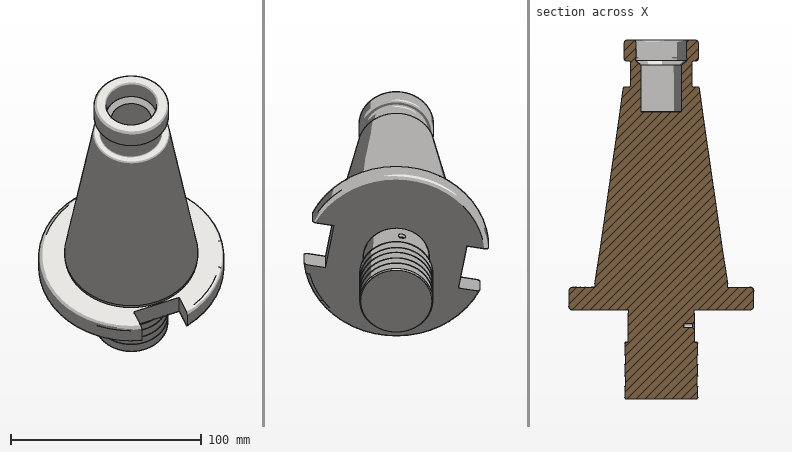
import cadquery as cq
import math

total_height = 188.8
shank_top = 30.0
flange_bottom = 46.8
flange_top = 59.0
taper_top = 164.3
rim_bottom = 177.7

shank_radius = 19.3
lower_neck_radius = 17.5
flange_radius = 48.7
taper_base_radius = 35.1
taper_slope = 7 / 48
upper_neck_radius = 16.2
rim_radius = 19.6

shank_chamfer_width = 0.5
shank_chamfer_height = 1.0
shank_top_chamfer = 0.5
flange_fillet = 2.0
taper_top_fillet = 1.1
neck_bottom_fillet = 0.5
neck_top_fillet = 1.0
rim_top_fillet = 1.9
rim_bottom_fillet = 1.1

relief_depth = 0.2
relief_height = 1.1
relief_runout = 0.8

band_spans = ((6.8, 12.3), (18.1, 23.2))
band_depth = 0.2

slot_width = 25.7
slot_floor = 35.5

bore_radius = 13.2
bore_depth = 11.0
bore_mouth_fillet = 1.3
pilot_radius = 10.5
pilot_depth = 37.8
cone_half_angle = 50.0

side_hole_height = 38.7
side_hole_radius = 1.0
side_hole_depth = 5.7
countersink_radius = 2.0


def revolve_about_z(profile):
    """Close a half profile in the XZ plane and turn it into a solid."""
    return profile.close().revolve(360, (0, 0, 0), (0, 1, 0))


def shank():
    """Chamfered shank and lower neck, up to the underside of the flange."""
    relief_bottom = flange_bottom - relief_height
    profile = (
        cq.Workplane("XZ")
        .lineTo(shank_radius - shank_chamfer_width, 0)
        .lineTo(shank_radius, shank_chamfer_height)
        .lineTo(shank_radius, shank_top - shank_top_chamfer)
        .lineTo(shank_radius - shank_top_chamfer, shank_top)
        .lineTo(lower_neck_radius, shank_top)
        .lineTo(lower_neck_radius, relief_bottom - relief_runout)
        .lineTo(lower_neck_radius - relief_depth, relief_bottom)
        .lineTo(lower_neck_radius - relief_depth, flange_bottom)
        .lineTo(0, flange_bottom)
    )
    body = revolve_about_z(profile)
    for bottom, top in band_spans:
        band = (
            cq.Workplane("XY", origin=(0, 0, bottom))
            .circle(shank_radius + band_depth)
            .circle(shank_radius - band_depth)
            .extrude(top - bottom)
        )
        body = body.cut(band)
    return body


def flange():
    """Rounded disc with a drive slot on each X side."""
    disc = cq.Workplane("XY", origin=(0, 0, flange_bottom)).circle(flange_radius)
    disc = disc.extrude(flange_top - flange_bottom).edges().fillet(flange_fillet)
    slot_length = flange_radius - slot_floor
    slots = (
        cq.Workplane("XY", origin=(0, 0, flange_bottom))
        .pushPoints([(side * (slot_floor + slot_length / 2), 0) for side in (-1, 1)])
        .rect(slot_length, slot_width)
        .extrude(flange_top - flange_bottom)
    )
    return disc.cut(slots)


def taper():
    """Cone above the flange, with a relief at its foot."""
    relief_top = flange_top + relief_height
    cone_bottom = relief_top + relief_runout
    top_radius = taper_base_radius - taper_slope * (taper_top - cone_bottom)
    profile = (
        cq.Workplane("XZ")
        .moveTo(0, flange_top)
        .lineTo(taper_base_radius - relief_depth, flange_top)
        .lineTo(taper_base_radius - relief_depth, relief_top)
        .lineTo(taper_base_radius, cone_bottom)
        .lineTo(top_radius, taper_top)
        .lineTo(0, taper_top)
    )
    return revolve_about_z(profile).edges(">Z").fillet(taper_top_fillet)


def upper_neck():
    """Neck between taper and rim, flaring into both through small fillets."""
    profile = (
        cq.Workplane("XZ")
        .moveTo(0, taper_top)
        .lineTo(upper_neck_radius + neck_bottom_fillet, taper_top)
        .radiusArc((upper_neck_radius, taper_top + neck_bottom_fillet), neck_bottom_fillet)
        .lineTo(upper_neck_radius, rim_bottom - neck_top_fillet)
        .radiusArc((upper_neck_radius + neck_top_fillet, rim_bottom), neck_top_fillet)
        .lineTo(0, rim_bottom)
    )
    return revolve_about_z(profile)


def rim():
    """Rounded ring at the very top."""
    disc = cq.Workplane("XY", origin=(0, 0, rim_bottom)).circle(rim_radius)
    disc = disc.extrude(total_height - rim_bottom)
    return disc.edges(">Z").fillet(rim_top_fillet).edges("<Z").fillet(rim_bottom_fillet)


def top_bore():
    """Cutter for the bore, its relief, the cone and the pilot hole."""
    cone_top = total_height - bore_depth
    cone_radius = bore_radius + relief_depth
    cone_height = (cone_radius - pilot_radius) / math.tan(math.radians(cone_half_angle))
    pilot_floor = total_height - pilot_depth
    profile = (
        cq.Workplane("XZ")
        .moveTo(0, total_height)
        .lineTo(bore_radius + bore_mouth_fillet, total_height)
        .radiusArc((bore_radius, total_height - bore_mouth_fillet), -bore_mouth_fillet)
        .lineTo(bore_radius, cone_top + relief_height + relief_runout)
        .lineTo(cone_radius, cone_top + relief_height)
        .lineTo(cone_radius, cone_top)
        .lineTo(pilot_radius, cone_top - cone_height)
        .lineTo(pilot_radius, pilot_floor)
        .lineTo(0, pilot_floor)
    )
    return revolve_about_z(profile)


def side_hole():
    """Cutter for the countersunk hole, entering along +Y."""
    mouth = cq.Workplane("XZ", origin=(0, -lower_neck_radius, side_hole_height))
    hole = mouth.circle(side_hole_radius).extrude(-side_hole_depth)
    countersink_depth = countersink_radius - side_hole_radius
    countersink = (
        mouth.circle(countersink_radius)
        .workplane(offset=-countersink_depth)
        .circle(side_hole_radius)
        .loft()
    )
    return hole.union(countersink)


body = shank().union(flange()).union(taper()).union(upper_neck()).union(rim())
result = body.cut(top_bore()).cut(side_hole())